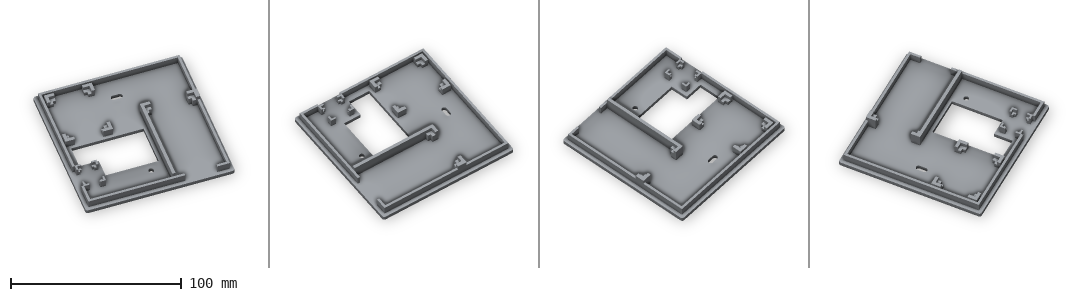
import cadquery as cq

side = 92.7
base_height = 2.5
corner_radius = 1.5

rim_top = 7.5
rail_top = 10.1
low_ledge_top = 2 * base_height

rim_inset = 2.3
rim_thickness = 1.6
rim_start = rim_inset
rim_end = side - rim_inset
rim_inner_start = rim_start + rim_thickness
rim_inner_end = rim_end - rim_thickness
right_gap = (62.6, 82.5)
front_gap = (62.1, 77.9)

bay_post_length = 6.0
bay_step = bay_post_length / 3
bay_left = 32.1
bay_rail_y = 55.1
bay_inner_top = 88.0

medium_post_length = 6.0
medium_x = (5.0, 42.6)
medium_y = (5.0, 34.7)

small_post_length = 3.5
small_x = (61.6, 78.3)
small_y = (rim_inner_start, 17.5)

window_x = (44.6, 70.8)
window_y = (7.8, 53.0)
window_notch_x = 59.05
window_notch_y = 19.9

screw_diameter = 3.2
screw_spacing = 60.0
slot_length = 7.2


def block(x_range, y_range, bottom, top):
    """Box between two x, two y and two z values."""
    (x0, x1), (y0, y1) = x_range, y_range
    solid = cq.Workplane("XY").box(x1 - x0, y1 - y0, top - bottom, centered=False)
    return solid.translate((x0, y0, bottom))


def angle(x, y, x_dir, y_dir, length, thickness, top):
    """L-shaped post on the plate; its outer corner is at (x, y) and its arms run along x_dir and y_dir."""
    points = [
        (0, 0),
        (length, 0),
        (length, thickness),
        (thickness, thickness),
        (thickness, length),
        (0, length),
    ]
    outline = [(x + x_dir * px, y + y_dir * py) for px, py in points]
    plate_top = cq.Workplane("XY").workplane(offset=base_height)
    return plate_top.polyline(outline).close().extrude(top - base_height)


def corner_post(x, y, x_dir, y_dir, length, ledge_top, lip_top):
    """L-shaped ledge with a higher lip around its outside; one step is a third of its length."""
    step = length / 3
    ledge = angle(x, y, x_dir, y_dir, length, 2 * step, ledge_top)
    lip = angle(x, y, x_dir, y_dir, length, step, lip_top)
    return ledge.union(lip)


def four_posts(x_range, y_range, length):
    """Corner posts at the corners of a rectangle, all facing inward."""
    posts = cq.Workplane("XY")
    for x, x_dir in zip(x_range, (1, -1)):
        for y, y_dir in zip(y_range, (1, -1)):
            posts = posts.union(corner_post(x, y, x_dir, y_dir, length, low_ledge_top, rim_top))
    return posts


def base_plate():
    return block((0, side), (0, side), 0, base_height).edges("|Z").fillet(corner_radius)


def rim():
    outer = block((rim_start, rim_end), (rim_start, rim_end), base_height, rim_top)
    inner = block((rim_inner_start, rim_inner_end), (rim_inner_start, rim_inner_end), base_height, rim_top)
    right_opening = block((rim_inner_end, rim_end), right_gap, base_height, rim_top)
    front_opening = block(front_gap, (rim_start, rim_inner_start), base_height, rim_top)
    return outer.cut(inner).cut(right_opening).cut(front_opening)


def large_bay():
    rail = block((bay_left, rim_inner_end), (bay_rail_y, bay_rail_y + bay_step), base_height, rail_top)
    lower_post = corner_post(bay_left, bay_rail_y, 1, 1, bay_post_length, rim_top, rail_top)
    upper_post = corner_post(bay_left, bay_inner_top + bay_step, 1, -1, bay_post_length, rim_top, rail_top)
    lip_range = (bay_left, bay_left + bay_post_length)
    upper_lip = block(lip_range, (bay_inner_top, rim_end), base_height, rail_top)
    return rail.union(lower_post).union(upper_post).union(upper_lip)


def window():
    (x0, x1), (y0, y1) = window_x, window_y
    full = block(window_x, window_y, 0, base_height)
    kept_corner = block((window_notch_x, x1), (y0, window_notch_y), 0, base_height)
    return full.cut(kept_corner)


def screw_openings():
    middle = side / 2
    offset = screw_spacing / 2
    plane = cq.Workplane("XY")
    hole = plane.center(middle + offset, middle).circle(screw_diameter / 2).extrude(base_height)
    slot = plane.center(middle - offset, middle).slot2D(slot_length, screw_diameter, 90).extrude(base_height)
    return hole.union(slot)


result = (
    base_plate()
    .union(rim())
    .union(large_bay())
    .union(four_posts(medium_x, medium_y, medium_post_length))
    .union(four_posts(small_x, small_y, small_post_length))
    .cut(window())
    .cut(screw_openings())
)